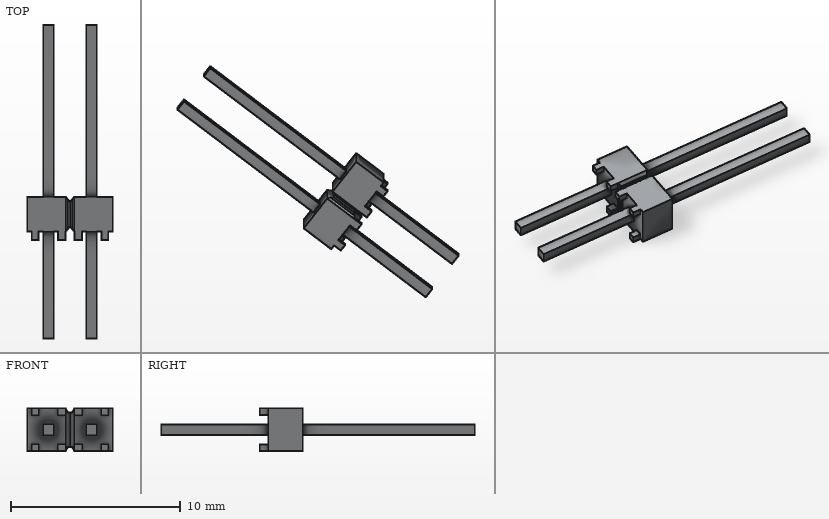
import cadquery as cq


pitch = 2.54
block_length = 2.05
pin_length = 18.54
pin_front_reach = 6.32
pin_width = 0.63
side_groove_depth = 0.3
floor_groove_depth = 0.25
groove_half_width = 0.26
floor_half_width = 0.13
foot_size = 0.4
inner_foot_width = 0.46
foot_length = 0.5
foot_inset = 0.28

pin_x = pitch / 2
half_height = pitch / 2
block_width = pitch - groove_half_width
pin_front_y = -pin_front_reach


def make_block():
    """Block with its front face on Y = 0."""
    return cq.Workplane("XY").box(
        block_width, block_length, pitch, centered=(False, False, True)
    ).translate((groove_half_width, 0, 0))


def make_joint_taper():
    """Inner end: a V-groove flank on front and back, a flat-bottomed groove above and below."""
    plan = (
        cq.Workplane("XY", origin=(0, 0, -half_height))
        .polyline([
            (groove_half_width, 0),
            (groove_half_width, block_length),
            (0, block_length - side_groove_depth),
            (0, side_groove_depth),
        ])
        .close()
        .extrude(pitch)
    )
    floor_z = half_height - floor_groove_depth
    elevation = (
        cq.Workplane("XZ")
        .polyline([
            (0, floor_z),
            (floor_half_width, floor_z),
            (groove_half_width, half_height),
            (groove_half_width, -half_height),
            (floor_half_width, -floor_z),
            (0, -floor_z),
        ])
        .close()
        .extrude(-block_length)
    )
    return plan.intersect(elevation)


def make_pin():
    """Square pin that passes through the middle of the block."""
    return cq.Workplane("XY").box(
        pin_width, pin_length, pin_width, centered=(True, False, True)
    ).translate((pin_x, pin_front_y, 0))


def make_foot(start_x, width, bottom_z):
    """Small standoff foot on the front face of the block."""
    return cq.Workplane("XY").box(
        width, foot_length, foot_size, centered=False
    ).translate((start_x, -foot_length, bottom_z))


def make_cell():
    """Cell on the +X side of the joint, with a foot near each corner."""
    cell = make_block().union(make_joint_taper()).union(make_pin())
    outer_foot_x = pitch - foot_inset - foot_size
    for bottom_z in (-half_height, half_height - foot_size):
        cell = cell.union(make_foot(groove_half_width, inner_foot_width, bottom_z))
        cell = cell.union(make_foot(outer_foot_x, foot_size, bottom_z))
    return cell.val().Solids()[0]


right_cell = make_cell()
left_cell = right_cell.mirror("YZ")

result = cq.Compound.makeCompound([left_cell, right_cell])